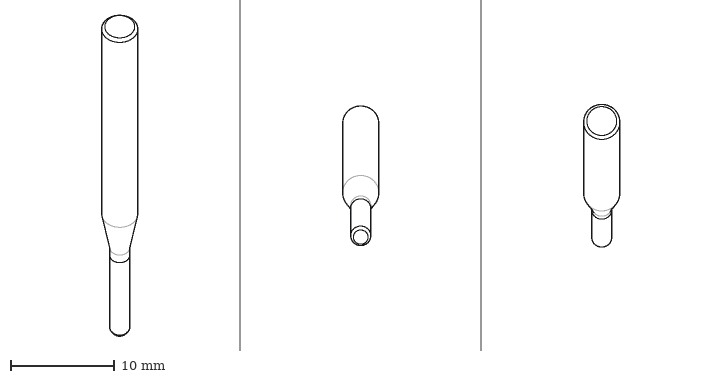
import cadquery as cq

total_length = 44.5
shank_radius = 1.758
pin_radius = 1.0

joint_height = 11.1
taper_bottom = 12.2
taper_top = 17.15

shank_chamfer = 0.3
tip_chamfer_height = 0.5
tip_chamfer_width = 0.25


def make_holder():
    """Chamfered shank that tapers down to a short neck of the pin's diameter."""
    profile = (
        cq.Workplane("XZ")
        .moveTo(0, joint_height)
        .lineTo(pin_radius, joint_height)
        .lineTo(pin_radius, taper_bottom)
        .lineTo(shank_radius, taper_top)
        .lineTo(shank_radius, total_length - shank_chamfer)
        .lineTo(shank_radius - shank_chamfer, total_length)
        .lineTo(0, total_length)
        .close()
    )
    return profile.revolve(360, (0, 0), (0, 1))


def make_pin():
    """Slender pin below the neck, with a steep chamfer around its tip."""
    profile = (
        cq.Workplane("XZ")
        .lineTo(pin_radius - tip_chamfer_width, 0)
        .lineTo(pin_radius, tip_chamfer_height)
        .lineTo(pin_radius, joint_height)
        .lineTo(0, joint_height)
        .close()
    )
    return profile.revolve(360, (0, 0), (0, 1))


holder = make_holder()
pin = make_pin()

result = cq.Compound.makeCompound([holder.val(), pin.val()])